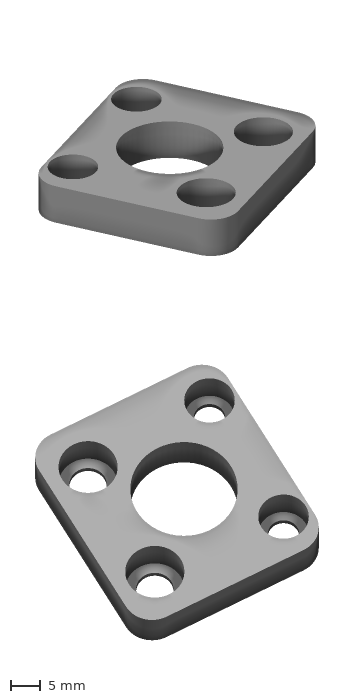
import cadquery as cq

plate_length = 40.0
plate_width = 36.3
plate_thickness = 7.0
corner_radius = 5.0
bore_to_left_side = 16.8
bore_diameter = 18.0

screw_column_offset = 12.0
left_pair_spacing = 25.5
left_hole_diameter = 5.3
left_counterbore_diameter = 8.5
right_pair_spacing = 23.0
right_hole_diameter = 6.3
right_counterbore_diameter = 9.9
counterbore_depth = 6.0


def make_plate():
    """Rounded rectangular plate standing on Z = 0."""
    return (
        cq.Workplane("XY")
        .center(plate_width / 2 - bore_to_left_side, 0)
        .rect(plate_width, plate_length)
        .extrude(plate_thickness)
        .edges("|Z")
        .fillet(corner_radius)
    )


def cut_screw_pair(body, x, spacing, hole_diameter, counterbore_diameter):
    """Cut two holes, counterbored from the top, at Y = +/- half the spacing."""
    return (
        body.faces(">Z")
        .workplane(origin=(0, 0, 0))
        .pushPoints([(x, -spacing / 2), (x, spacing / 2)])
        .cboreHole(hole_diameter, counterbore_diameter, counterbore_depth)
    )


plate = make_plate()
plate = plate.faces(">Z").workplane(origin=(0, 0, 0)).hole(bore_diameter)
plate = cut_screw_pair(
    plate,
    -screw_column_offset,
    left_pair_spacing,
    left_hole_diameter,
    left_counterbore_diameter,
)
plate = cut_screw_pair(
    plate,
    screw_column_offset,
    right_pair_spacing,
    right_hole_diameter,
    right_counterbore_diameter,
)
result = plate